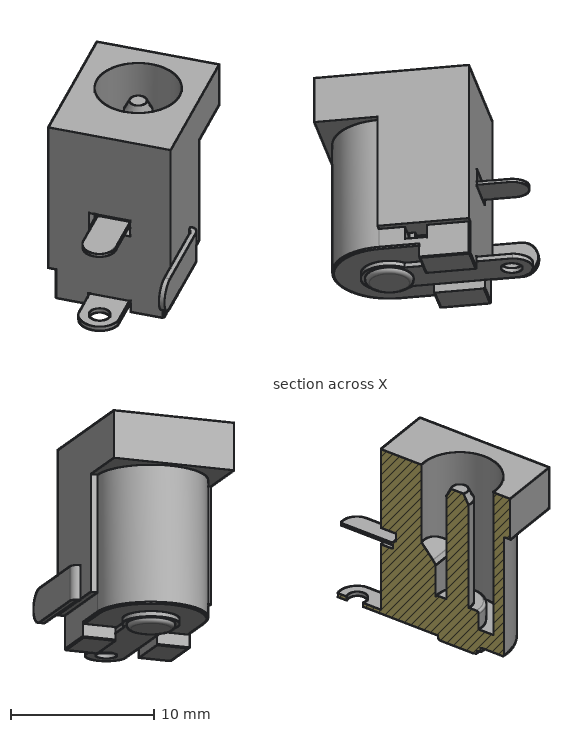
import cadquery as cq
import math


body_w = 9.0
body_front = -6.5
body_back = 4.5
total_h = 14.5
flange_h = 3.45
barrel_d = 8.0
bore_d = 6.1

cover_top = 2.5
cover_bottom = 0.98
foot_back = -2.87
foot_gap_w = 3.12
cover_w = barrel_d
cover_edge = 0.12
foot_bottom_edge = 0.07

recess_w = 3.03
recess_depth = 1.25
recess_top = 7.84
tongue_top = 6.5

pin_d = 2.0
pin_tip_d = 1.22
pin_top = 13.42
pin_taper_h = 0.8
collar_d = 3.7
collar_h = 1.5
collar_edge = 0.2
rivet_d = 3.41
rivet_edge = 0.3
rivet_bottom = 0.26

ramp_y = -1.82
ramp_knee_y = -2.06
ramp_foot_z = tongue_top
ramp_nose_angle = 56
ramp_angle = 49

spring_w = 2.4
spring_t = 0.25
spring_z = 6.75
spring_reach = 3.44
root_w = 2.63
root_h = 0.7
root_t = 0.25
root_edge = 0.2

pin_tab_w = 2.93
pin_tab_t = 0.37
pin_tab_reach = 3.7
pin_tab_tip_r = 1.5
pin_tab_pad_r = 2.0
pin_tab_hole_d = 1.5

switch_w = 2.5
switch_t = 0.41
switch_z = 2.45
switch_gap = 0.18
switch_back = -1.98
switch_reach = 3.2
switch_leg_x = -3.0
switch_leg_bottom = 1.84
switch_leg_edge = 0.3

window_back = -1.85
window_front = -3.41
window_bottom = 1.56
window_depth = 1.5


def box(x_range, y_range, z_range):
    """Axis-aligned box from its limits along X, Y and Z."""
    (x0, x1), (y0, y1), (z0, z1) = x_range, y_range, z_range
    return cq.Workplane("XY").box(x1 - x0, y1 - y0, z1 - z0, centered=False).translate((x0, y0, z0))


def centered_box(width, y_range, z_range):
    """Box whose width is centered on X = 0."""
    return box((-width / 2, width / 2), y_range, z_range)


def cylinder(diameter, z0, z1):
    """Upright cylinder on the pin axis."""
    return cq.Workplane("XY").workplane(offset=z0).circle(diameter / 2).extrude(z1 - z0)


def make_housing():
    flange = centered_box(body_w, (body_front, body_back), (total_h - flange_h, total_h))
    block = centered_box(body_w, (body_front, 0), (cover_top, total_h))
    barrel = cylinder(barrel_d, cover_top, total_h)
    bore = cylinder(bore_d, cover_top, total_h)
    recess = centered_box(recess_w, (body_front, body_front + recess_depth), (cover_top, recess_top))
    return flange.union(block).union(barrel).cut(bore).cut(recess)


def make_cover():
    cap = centered_box(cover_w, (body_front, 0), (cover_bottom, cover_top))
    cap = cap.union(cylinder(barrel_d, cover_bottom, cover_top))
    cap = cap.faces("<Z").edges("not <Y").chamfer(cover_edge)
    foot = centered_box(cover_w, (body_front, foot_back), (0, cover_top))
    foot = foot.edges("<Y and |Z").chamfer(cover_edge).faces("<Z").chamfer(foot_bottom_edge)
    front_block = centered_box(cover_w, (body_front, foot_back), (0, cover_top))
    gap = centered_box(foot_gap_w, (body_front, foot_back), (0, cover_bottom))
    tongue = centered_box(recess_w, (body_front, body_front + recess_depth), (cover_bottom, tongue_top))
    window = box(
        (-cover_w / 2, -cover_w / 2 + window_depth),
        (window_front, window_back),
        (window_bottom, cover_top),
    )
    return cap.cut(front_block).union(foot).cut(gap).union(tongue).cut(window)


def make_pin():
    shank = cylinder(pin_d, cover_top, pin_top)
    taper = (pin_d - pin_tip_d) / 2
    shank = shank.faces(">Z").chamfer(pin_taper_h, taper)
    collar = cylinder(collar_d, cover_top, cover_top + collar_h).faces(">Z").fillet(collar_edge)
    rivet = cylinder(rivet_d, rivet_bottom, cover_bottom).faces("<Z").fillet(rivet_edge)
    return shank.union(collar).union(rivet)


def make_ramp():
    bore_r = bore_d / 2
    knee_z = ramp_foot_z + (ramp_y - ramp_knee_y) * math.tan(math.radians(ramp_nose_angle))
    wall_z = knee_z + (ramp_knee_y + bore_r) * math.tan(math.radians(ramp_angle))
    profile = [
        (ramp_y, cover_top),
        (ramp_y, ramp_foot_z),
        (ramp_knee_y, knee_z),
        (-bore_r, wall_z),
        (-bore_r, cover_top),
    ]
    wedge = cq.Workplane("YZ").polyline(profile).close().extrude(bore_r, both=True)
    return wedge.intersect(cylinder(bore_d, cover_top, total_h))


def rounded_tab(plane, width, tip_y, root_y):
    """Outline of a flat tab along Y with a half-round tip, centered on the plane origin."""
    half = width / 2
    shoulder_y = tip_y + half
    return (
        cq.Workplane(plane)
        .moveTo(-half, root_y)
        .lineTo(-half, shoulder_y)
        .threePointArc((0, tip_y), (half, shoulder_y))
        .lineTo(half, root_y)
        .close()
    )


def make_spring_terminal():
    wall_y = body_front + recess_depth
    tab_plane = cq.Plane(origin=(0, 0, spring_z), xDir=(1, 0, 0), normal=(0, 0, 1))
    tab = rounded_tab(tab_plane, spring_w, body_front - spring_reach, wall_y).extrude(spring_t)
    root = centered_box(root_w, (wall_y - root_t, wall_y), (tongue_top, tongue_top + root_h))
    root = root.edges("<Y and >Z").chamfer(root_edge)
    return tab.union(root)


def make_pin_terminal():
    tip_center_y = body_front - pin_tab_reach + pin_tab_tip_r
    z_range = (cover_bottom - pin_tab_t, cover_bottom)
    strip = centered_box(pin_tab_w, (tip_center_y, 0), z_range)
    tip = cylinder(2 * pin_tab_tip_r, *z_range).translate((0, tip_center_y, 0))
    tip = tip.intersect(centered_box(pin_tab_w, (body_front - pin_tab_reach, body_front), z_range))
    hole = cylinder(pin_tab_hole_d, *z_range).translate((0, tip_center_y, 0))
    pad = cylinder(2 * pin_tab_pad_r, *z_range)
    return strip.union(tip).cut(hole).union(pad)


def make_switch_terminal():
    inner_x = body_w / 2 + switch_gap
    outer_x = inner_x + switch_t
    tip_y = body_front - switch_reach
    bend_center_y = switch_back - switch_t - switch_gap
    bend_r = switch_gap + switch_t
    diagonal = math.sqrt(0.5)
    strip = (
        cq.Workplane("XY")
        .workplane(offset=switch_z)
        .moveTo(body_w / 2, switch_back)
        .threePointArc(
            (body_w / 2 + bend_r * diagonal, bend_center_y + bend_r * diagonal),
            (outer_x, bend_center_y),
        )
        .lineTo(outer_x, tip_y)
        .lineTo(inner_x, tip_y)
        .lineTo(inner_x, bend_center_y)
        .threePointArc(
            (body_w / 2 + switch_gap * diagonal, bend_center_y + switch_gap * diagonal),
            (body_w / 2, switch_back - switch_t),
        )
        .close()
        .extrude(switch_w)
    )
    side_plane = cq.Plane(
        origin=(body_w / 2, 0, switch_z + switch_w / 2), xDir=(0, 0, -1), normal=(1, 0, 0)
    )
    side_outline = rounded_tab(side_plane, switch_w, tip_y, switch_back).extrude(bend_r)
    return strip.intersect(side_outline)


def make_switch_leg():
    window_wall_x = -cover_w / 2 + window_depth
    leg = box(
        (switch_leg_x, window_wall_x),
        (switch_back - switch_t, switch_back),
        (switch_leg_bottom, cover_top),
    )
    return leg.edges(">Y and <Z").chamfer(switch_leg_edge)


features = [
    make_cover,
    make_pin,
    make_ramp,
    make_spring_terminal,
    make_pin_terminal,
    make_switch_terminal,
    make_switch_leg,
]
result = make_housing()
for make_feature in features:
    result = result.union(make_feature())